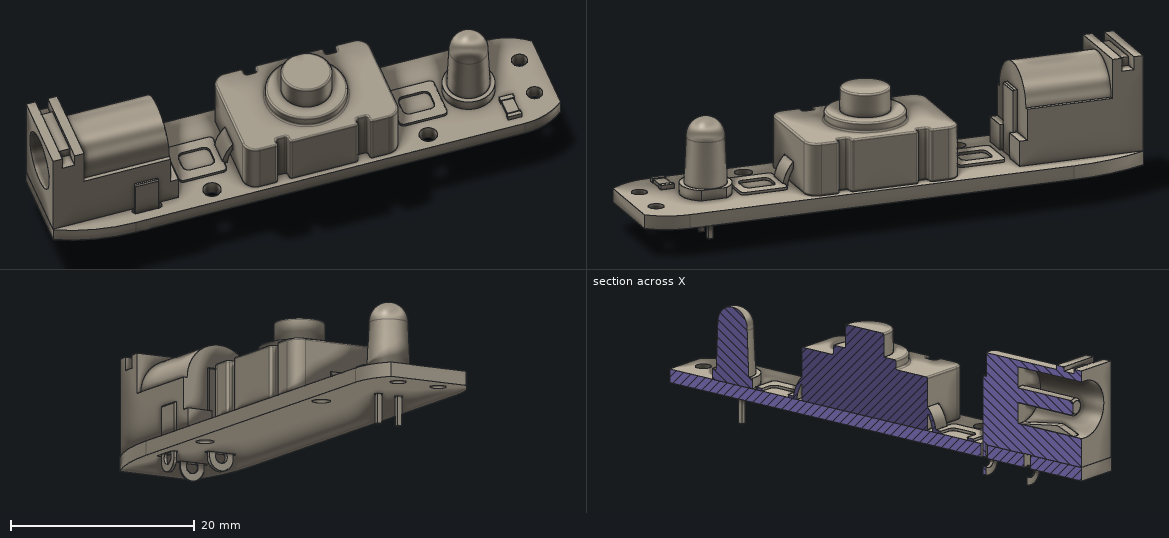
import cadquery as cq
import math


board_length = 58.6
board_width = 13.0
board_thickness = 1.6
front_end_width = 9.2
rear_end_width = 9.5
front_taper_length = 8.9
rear_taper_length = 4.7
strap_hole_diameter = 1.75
strap_hole_spacing = 5.08
strap_hole_inset = 2.25
mount_hole_diameter = 2.0
mount_hole_x = 4.6
mount_hole_spacing = 25.0
slot_width = 0.89
slot_end_clearance = 0.35

chip_length = 3.1
chip_width = 1.6
chip_height = 0.5
chip_cap_length = 0.55
chip_body_inset = 0.1
chip_x = 3.9
chip_y = 53.1

led_x = -0.2
led_y = 49.65
led_flange_diameter = 5.8
led_flange_flat = 2.5
led_flange_height = 1.2
led_base_diameter = 4.85
led_dome_diameter = 4.3
led_dome_start = 6.5
led_height = 8.8
lead_spacing = 2.54
lead_width = 0.55
lead_end = -4.85
lead_hole_diameter = 0.89

switch_y = 30.85
switch_length = 17.9
switch_width = 12.0
switch_height = 6.1
switch_corner_radius = 1.5
switch_edge_radius = 0.2
switch_notch_width = 1.35
switch_notch_depth = 0.95
switch_notch_offset = 4.65
switch_notch_radius = 0.3
collar_diameter = 9.0
collar_height = 7.2
collar_foot_radius = 0.2
button_diameter = 5.6
button_height = 9.9
pad_start = 10.0
pad_length = 5.5
pad_width = 5.2
pad_thickness = 0.3
pad_corner_radius = 0.5
window_start = 10.9
window_length = 3.65
window_corner_radius = 0.7
leg_width = 2.7
leg_top = 2.7
leg_thickness = 0.4
leg_bulge = 0.25

jack_width = 9.0
jack_height = 11.0
jack_length = 13.6
jack_flange_length = 3.6
barrel_diameter = 8.1
bore_z = 6.5
bore_diameter = 6.5
bore_depth = 9.0
heel_length = 0.9
heel_height = 2.9
heel_notch_width = 2.9
groove_start = 1.1
groove_end = 2.5
groove_floor = 9.5
groove_step_width = 5.8
groove_step_floor = 10.5
pin_diameter = 2.0
pin_tip = 1.2
pin_tip_chamfer = 0.25
spring_width = 1.0
spring_tip = 1.2
spring_peak_y = 3.5
spring_peak_z = 4.1
spring_bend_radius = 1.0
terminal_hole_diameter = 1.5
terminal_end = -3.6
terminal_hole_z = -2.0
cross_terminal_width = 3.0
rear_terminal_thickness = 0.5
rear_terminal_height = 7.8
front_terminal_y = 7.75
front_terminal_thickness = 0.2
side_terminal_y = 10.75
side_terminal_width = 2.7
side_terminal_thickness = 0.35
side_terminal_height = 4.0
side_slot_x = 4.85
terminal_chamfer = 0.15

rear_terminal_y = jack_length + rear_terminal_thickness / 2
side_terminal_x = jack_width / 2 + side_terminal_thickness / 2


def block(x_range, y_range, z_range):
    """Box between two limits on each axis."""
    size = [high - low for low, high in (x_range, y_range, z_range)]
    corner = (x_range[0], y_range[0], z_range[0])
    return cq.Workplane("XY").box(*size, centered=False).translate(corner)


def cylinder(diameter, bottom, top, x=0.0, y=0.0):
    """Upright cylinder."""
    return cq.Workplane("XY", origin=(x, y, bottom)).circle(diameter / 2).extrude(top - bottom)


def lead_positions():
    return [(led_x + side * lead_spacing / 2, led_y) for side in (-1, 1)]


def taper_point(end_width, length):
    """Width lost and distance from the taper's start, halfway round its arc.

    The arc leaves the board's side tangentially and meets the end edge.
    """
    inset = (board_width - end_width) / 2
    radius = (inset**2 + length**2) / (2 * inset)
    half_angle = math.asin(length / radius) / 2
    return radius * (1 - math.cos(half_angle)), radius * math.sin(half_angle)


def board_blank():
    half = board_width / 2
    front_half = front_end_width / 2
    rear_half = rear_end_width / 2
    front_y = front_taper_length
    rear_y = board_length - rear_taper_length
    front_inset, front_run = taper_point(front_end_width, front_taper_length)
    rear_inset, rear_run = taper_point(rear_end_width, rear_taper_length)
    return (
        cq.Workplane("XY", origin=(0, 0, -board_thickness))
        .moveTo(-front_half, 0)
        .lineTo(front_half, 0)
        .threePointArc((half - front_inset, front_y - front_run), (half, front_y))
        .lineTo(half, rear_y)
        .threePointArc((half - rear_inset, rear_y + rear_run), (rear_half, board_length))
        .lineTo(-rear_half, board_length)
        .threePointArc((rear_inset - half, rear_y + rear_run), (-half, rear_y))
        .lineTo(-half, front_y)
        .threePointArc((front_inset - half, front_y - front_run), (-front_half, 0))
        .close()
        .extrude(board_thickness)
    )


def round_holes(diameter, points):
    return (
        cq.Workplane("XY", origin=(0, 0, -board_thickness))
        .pushPoints(points)
        .circle(diameter / 2)
        .extrude(board_thickness)
    )


def terminal_slot(x, y, terminal_width, angle):
    """Round-ended slot with room for one jack terminal."""
    length = terminal_width + 2 * slot_end_clearance
    return (
        cq.Workplane("XY", origin=(x, y, -board_thickness))
        .slot2D(length, slot_width, angle)
        .extrude(board_thickness)
    )


def chip_resistor():
    body_half = chip_width / 2 - chip_body_inset
    half_length = chip_length / 2
    chip = block(
        (-half_length, half_length), (-body_half, body_half), (0, chip_height - chip_body_inset)
    )
    for start in (-half_length, half_length - chip_cap_length):
        cap_range = (start, start + chip_cap_length)
        chip = chip.union(block(cap_range, (-chip_width / 2, chip_width / 2), (0, chip_height)))
    return chip.translate((chip_x, chip_y, 0))


def make_board():
    strap_y = board_length - strap_hole_inset
    strap_holes = [(side * strap_hole_spacing / 2, strap_y) for side in (-1, 1)]
    mount_holes = [(mount_hole_x, switch_y + side * mount_hole_spacing / 2) for side in (-1, 1)]
    return (
        board_blank()
        .cut(round_holes(strap_hole_diameter, strap_holes))
        .cut(round_holes(mount_hole_diameter, mount_holes))
        .cut(round_holes(lead_hole_diameter, lead_positions()))
        .cut(terminal_slot(0, rear_terminal_y, cross_terminal_width, 0))
        .cut(terminal_slot(0, front_terminal_y, cross_terminal_width, 0))
        .cut(terminal_slot(side_slot_x, side_terminal_y, side_terminal_width, 90))
        .union(chip_resistor())
    )


def make_led():
    flange_radius = led_flange_diameter / 2
    flange = cylinder(led_flange_diameter, 0, led_flange_height).intersect(
        block(
            (-led_flange_flat, flange_radius),
            (-flange_radius, flange_radius),
            (0, led_flange_height),
        )
    )
    dome_radius = led_dome_diameter / 2
    dome_rise = led_height - led_dome_start
    arc_radius = (dome_radius**2 + dome_rise**2) / (2 * dome_rise)
    arc_centre = led_height - arc_radius
    arc_half_angle = math.atan2(dome_radius, led_dome_start - arc_centre) / 2
    dome_middle = (
        arc_radius * math.sin(arc_half_angle),
        arc_centre + arc_radius * math.cos(arc_half_angle),
    )
    lens = (
        cq.Workplane("XZ")
        .moveTo(0, 0)
        .lineTo(led_base_diameter / 2, 0)
        .lineTo(dome_radius, led_dome_start)
        .threePointArc(dome_middle, (0, led_height))
        .close()
        .revolve(360, (0, 0, 0), (0, 1, 0))
    )
    led = flange.union(lens).translate((led_x, led_y, 0))
    half = lead_width / 2
    for x, y in lead_positions():
        led = led.union(block((x - half, x + half), (y - half, y + half), (lead_end, 0)))
    return led


def switch_housing():
    half_width = switch_width / 2
    housing = cq.Workplane("XY").rect(switch_width, switch_length).extrude(switch_height)
    notch_floor = half_width - switch_notch_depth
    for x_range in ((-half_width, -notch_floor), (notch_floor, half_width)):
        for centre in (-switch_notch_offset, switch_notch_offset):
            y_range = (centre - switch_notch_width / 2, centre + switch_notch_width / 2)
            housing = housing.cut(block(x_range, y_range, (0, switch_height)))
    notch_reach = switch_notch_offset + switch_notch_width
    notch_region = cq.selectors.BoxSelector(
        (-switch_width, -notch_reach, 0), (switch_width, notch_reach, switch_height)
    )
    return (
        housing.edges("|Z")
        .edges("<Y or >Y")
        .fillet(switch_corner_radius)
        .edges("|Z")
        .edges(notch_region)
        .fillet(switch_notch_radius)
        .faces("<Z or >Z")
        .edges()
        .fillet(switch_edge_radius)
    )


def switch_contact():
    """Solder pad with a window, and the leg that curves up from it to the housing."""
    pad = (
        cq.Workplane("XY", origin=(0, pad_start + pad_length / 2, 0))
        .rect(pad_width, pad_length)
        .extrude(pad_thickness)
        .edges("|Z")
        .fillet(pad_corner_radius)
    )
    window = (
        cq.Workplane("XY", origin=(0, window_start + window_length / 2, 0))
        .rect(leg_width, window_length)
        .extrude(pad_thickness)
        .edges("|Z")
        .fillet(window_corner_radius)
    )
    housing_side = switch_length / 2
    middle_y = (pad_start + housing_side) / 2 + leg_bulge
    middle_z = leg_top / 2 + leg_bulge
    leg = (
        cq.Workplane("YZ", origin=(-leg_width / 2, 0, 0))
        .moveTo(pad_start + leg_thickness / 2, 0)
        .threePointArc((middle_y, middle_z), (housing_side, leg_top))
        .lineTo(housing_side, leg_top - 2 * leg_thickness)
        .threePointArc(
            (middle_y - leg_thickness, middle_z - leg_thickness),
            (pad_start - leg_thickness, 0),
        )
        .close()
        .extrude(leg_width)
    )
    return pad.cut(window).union(leg)


def collar_foot():
    """Concave ring that blends the collar into the top of the housing."""
    radius = collar_diameter / 2
    outer = radius + collar_foot_radius
    corner_gap = collar_foot_radius * (1 - math.sqrt(0.5))
    return (
        cq.Workplane("XZ")
        .moveTo(0, switch_height)
        .lineTo(outer, switch_height)
        .threePointArc(
            (radius + corner_gap, switch_height + corner_gap),
            (radius, switch_height + collar_foot_radius),
        )
        .lineTo(0, switch_height + collar_foot_radius)
        .close()
        .revolve(360, (0, 0, 0), (0, 1, 0))
    )


def make_switch():
    collar = cylinder(collar_diameter, switch_height, collar_height)
    button = cylinder(button_diameter, collar_height, button_height)
    switch = (
        switch_housing()
        .union(collar.faces(">Z").edges().fillet(switch_edge_radius))
        .union(collar_foot())
        .union(button.faces(">Z").edges().fillet(switch_edge_radius))
    )
    for angle in (0, 180):
        switch = switch.union(switch_contact().rotate((0, 0, 0), (0, 0, 1), angle))
    return switch.translate((0, switch_y, 0))


def along_jack(diameter, start, length):
    """Cylinder on the bore axis, running back from the given Y."""
    return cq.Workplane("XZ", origin=(0, start, bore_z)).circle(diameter / 2).extrude(-length)


def terminal(width, thickness, top):
    """Flat tab across X with a rounded lower end and a hole, centred on X and Y."""
    radius = width / 2
    rounding_z = terminal_end + radius
    tab = block((-radius, radius), (-thickness / 2, thickness / 2), (rounding_z, top))
    plane = cq.Workplane("XZ", origin=(0, thickness / 2, 0))
    lower_end = plane.center(0, rounding_z).circle(radius).extrude(thickness)
    hole = (
        cq.Workplane("XZ", origin=(0, thickness / 2, terminal_hole_z))
        .circle(terminal_hole_diameter / 2)
        .extrude(thickness)
    )
    return tab.union(lower_end).cut(hole)


def chamfered_terminal(width, thickness, top):
    """Terminal that climbs the jack, with its free top edge bevelled."""
    return terminal(width, thickness, top).faces(">Z").edges(">Y").chamfer(terminal_chamfer)


def jack_terminals():
    rear = chamfered_terminal(cross_terminal_width, rear_terminal_thickness, rear_terminal_height)
    front = terminal(cross_terminal_width, front_terminal_thickness, 0)
    side = chamfered_terminal(side_terminal_width, side_terminal_thickness, side_terminal_height)
    side = side.rotate((0, 0, 0), (0, 0, 1), -90)
    return [
        rear.translate((0, rear_terminal_y, 0)),
        front.translate((0, front_terminal_y, 0)),
        side.translate((side_terminal_x, side_terminal_y, 0)),
    ]


def jack_shell():
    half = jack_width / 2
    across = (-half, half)
    heel_end = jack_length + heel_length
    shell = (
        block(across, (0, jack_length), (0, bore_z))
        .union(block(across, (0, jack_flange_length), (0, jack_height)))
        .union(block(across, (jack_length, heel_end), (0, heel_height)))
        .union(along_jack(barrel_diameter, 0, jack_length))
    )
    half_notch = heel_notch_width / 2
    heel_notch = block((-half_notch, half_notch), (jack_length, heel_end), (0, heel_height))
    groove = block(across, (groove_start, groove_end), (groove_floor, jack_height))
    half_step = groove_step_width / 2
    groove_step = block(
        (-half_step, half_step), (groove_start, groove_end), (groove_floor, groove_step_floor)
    )
    return shell.cut(heel_notch).cut(groove.cut(groove_step))


def contact_spring():
    """Bent contact that rises from the floor of the bore."""
    bore_floor = bore_z - bore_diameter / 2
    return (
        cq.Workplane("YZ", origin=(-spring_width / 2, 0, 0))
        .moveTo(spring_tip, bore_floor)
        .lineTo(spring_peak_y, spring_peak_z)
        .lineTo(bore_depth, bore_floor)
        .close()
        .extrude(spring_width)
        .edges("|X and >Z")
        .fillet(spring_bend_radius)
    )


def make_jack():
    pin = along_jack(pin_diameter, pin_tip, bore_depth - pin_tip)
    jack = (
        jack_shell()
        .cut(along_jack(bore_diameter, 0, bore_depth))
        .union(pin.faces("<Y").chamfer(pin_tip_chamfer))
        .union(contact_spring())
    )
    for tab in jack_terminals():
        jack = jack.union(tab)
    return jack


board = make_board()
led = make_led()
switch = make_switch()
jack = make_jack()

result = cq.Compound.makeCompound([board.val(), led.val(), switch.val(), jack.val()])